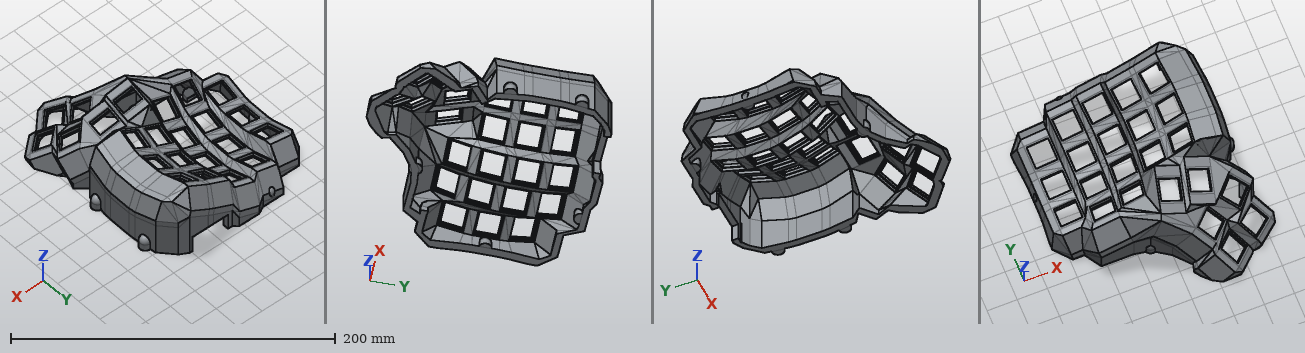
import cadquery as cq
import math


SWITCH_SIZE = 14.4
PLATE_RIM = 1.5
PLATE_THICKNESS = 4.0
CLIP_THICKNESS = 2.0
CLIP_UNDERCUT = 1.0
WEB_THICKNESS = 4.0
MOUNT = SWITCH_SIZE + 2 * PLATE_RIM
HALF_MOUNT = MOUNT / 2
POST_SIZE = 0.1
TALL_KEYCAP_LENGTH = 37.5
TALL_EXTENSION = (TALL_KEYCAP_LENGTH - MOUNT) / 3
TALL_HALF_MOUNT = MOUNT / 1.15

ROWS = 4
COLUMNS = 5
LAST_ROW = ROWS - 1
CORNER_ROW = ROWS - 2
LAST_COLUMN = COLUMNS - 1
LONG_COLUMNS = (2, 3)
CENTRE_ROW = 1
CENTRE_COLUMN = 3
ROW_ANGLE = 15
COLUMN_ANGLE = 5
TENTING_ANGLE = 15
LIFT = 9.0
KEYCAP_HEIGHT = 12.7
EXTRA_WIDTH = 2.5
EXTRA_HEIGHT = 1.0
CAP_TOP = PLATE_THICKNESS + KEYCAP_HEIGHT
ROW_RADIUS = (MOUNT + EXTRA_HEIGHT) / 2 / math.sin(math.radians(ROW_ANGLE / 2)) + CAP_TOP
COLUMN_RADIUS = (MOUNT + EXTRA_WIDTH) / 2 / math.sin(math.radians(COLUMN_ANGLE / 2)) + CAP_TOP
COLUMN_OFFSETS = [(0, 0, 0), (0, 0, 0), (0, 2.82, -4.5), (0, 0, 0), (0, -12, 5.64)]

LIP_WIDTH = 4.5
LIP_DROP = 1.0
WALL_OUT_X = 5.0
WALL_OUT_Y = 6.0
WALL_BASE_THICKNESS = 4.5
WALL_DROP = 15.0
INNER_WALL_OFFSET = (-12, 0, -3)
GROUND_DEPTH = 10.0
TRIM_SIZE = 400.0

THUMB_ORIGIN_OFFSET = (6, -3, 7)
THUMB_PLACES = {
    "top_right": ((10, -23, 10), (-12, -16, 3)),
    "top_left": ((10, -23, 10), (-32, -15, -2)),
    "middle_right": ((-6, -34, 48), (-29, -40, -13)),
    "middle_left": ((6, -34, 40), (-51, -25, -12)),
    "bottom_right": ((-16, -33, 54), (-37.8, -55.3, -25.3)),
    "bottom_left": ((-4, -35, 52), (-56.3, -43.3, -23.5)),
}
TALL_THUMB_KEYS = ("top_right", "top_left")

BOSS_BOTTOM_RADIUS = 4.255
BOSS_TOP_RADIUS = 4.15
BOSS_HEIGHT = 5.3
FRONT_BOSS_ROW = LAST_ROW + 0.3

OPENING_WIDTH = 28.75
OPENING_DEPTH = 20.0
OPENING_HEIGHT = 12.5
OPENING_SHIFT_X = -5.0
OPENING_SHIFT_Y = -4.5
RECESS_MARGIN = 4.0
RECESS_DEPTH = 10.0


def add(*vectors):
    return tuple(sum(parts) for parts in zip(*vectors))


def subtract(a, b):
    return tuple(p - q for p, q in zip(a, b))


def dot(a, b):
    return sum(p * q for p, q in zip(a, b))


def cross(a, b):
    return (
        a[1] * b[2] - a[2] * b[1],
        a[2] * b[0] - a[0] * b[2],
        a[0] * b[1] - a[1] * b[0],
    )


def unit(a):
    length = math.sqrt(dot(a, a))
    return tuple(p / length for p in a)


def turn(axis, degrees, point):
    c = math.cos(math.radians(degrees))
    s = math.sin(math.radians(degrees))
    x, y, z = point
    if axis == "x":
        return (x, c * y - s * z, s * y + c * z)
    if axis == "y":
        return (c * x + s * z, y, c * z - s * x)
    return (c * x - s * y, s * x + c * y, z)


def key_place(column, row):
    """Maps a point of a flat key onto its place in the key field."""

    def place(point):
        point = add(point, (0, 0, -ROW_RADIUS))
        point = turn("x", ROW_ANGLE * (CENTRE_ROW - row), point)
        point = add(point, (0, 0, ROW_RADIUS - COLUMN_RADIUS))
        point = turn("y", COLUMN_ANGLE * (CENTRE_COLUMN - column), point)
        point = add(point, (0, 0, COLUMN_RADIUS), COLUMN_OFFSETS[column])
        return add(turn("y", TENTING_ANGLE, point), (0, 0, LIFT))

    return place


def thumb_place(name):
    """Maps a point of a flat key onto its place in the thumb cluster."""
    turns, shift = THUMB_PLACES[name]
    origin = key_place(1, CORNER_ROW)((HALF_MOUNT, -HALF_MOUNT, 0))

    def place(point):
        for axis, angle in zip("xyz", turns):
            point = turn(axis, angle, point)
        return add(point, origin, THUMB_ORIGIN_OFFSET, shift)

    return place


def inner_place(row, side):
    """Shifts a point to the inner wall beside the front (-1), middle (0) or back (1) of a key."""
    corner = key_place(0, row)((-HALF_MOUNT, side * HALF_MOUNT, 0))

    def place(point):
        return add(point, corner, INNER_WALL_OFFSET)

    return place


FLATNESS = 1e-6


def facet(points, a, b, c):
    """A hull facet: its corners, outward normal and distance from the origin."""
    normal = unit(cross(subtract(points[b], points[a]), subtract(points[c], points[a])))
    return (a, b, c), normal, dot(normal, points[a])


def height(point, one_facet):
    return dot(one_facet[1], point) - one_facet[2]


def rim_edges(corner_lists):
    """Directed edges that only one of the corner lists runs along."""
    edges = {edge for corners in corner_lists for edge in zip(corners, corners[1:] + corners[:1])}
    return [edge for edge in edges if edge[::-1] not in edges]


def first_facets(points):
    """The four facets of a tetrahedron on widely spaced points."""
    a = 0
    b = max(range(len(points)), key=lambda i: math.dist(points[i], points[a]))
    along = subtract(points[b], points[a])

    def off_line(i):
        return math.hypot(*cross(along, subtract(points[i], points[a])))

    c = max(range(len(points)), key=off_line)
    base = facet(points, a, b, c)
    d = max(range(len(points)), key=lambda i: abs(height(points[i], base)))
    if height(points[d], base) > 0:
        b, c = c, b
    return [facet(points, *corners) for corners in ((a, b, c), (a, d, b), (b, d, c), (c, d, a))]


def hull_facets(points):
    """Triangular facets of the convex hull of the points."""
    facets = first_facets(points)
    for i, point in enumerate(points):
        seen = [f for f in facets if height(point, f) > FLATNESS]
        facets = [f for f in facets if height(point, f) <= FLATNESS]
        facets += [facet(points, start, end, i) for start, end in rim_edges([f[0] for f in seen])]
    return facets


def same_plane(points, one_facet, other):
    level = all(abs(height(points[i], other)) < FLATNESS for i in one_facet[0])
    return level and dot(one_facet[1], other[1]) > 0


def flat_groups(points, facets):
    """Gathers the facets that lie in one plane."""
    groups = []
    for f in facets:
        for group in groups:
            if same_plane(points, f, group[0]):
                group.append(f)
                break
        else:
            groups.append([f])
    return groups


def hull_solid(points):
    """The convex solid around the points, with one polygon for each flat side."""
    faces = []
    for group in flat_groups(points, hull_facets(points)):
        following = dict(rim_edges([f[0] for f in group]))
        corner = next(iter(following))
        outline = []
        for _ in following:
            outline.append(cq.Vector(*points[corner]))
            corner = following[corner]
        faces.append(cq.Face.makeFromWires(cq.Wire.makePolygon(outline, close=True)))
    return cq.Solid.makeSolid(cq.Shell.makeShell(faces))


POST_REACH = HALF_MOUNT - POST_SIZE / 2
TALL_POST_REACH = TALL_HALF_MOUNT - POST_SIZE / 2
CENTRE = (0, 0, 0)
FRONT_LEFT = (-POST_REACH, -POST_REACH, 0)
FRONT_RIGHT = (POST_REACH, -POST_REACH, 0)
BACK_LEFT = (-POST_REACH, POST_REACH, 0)
BACK_RIGHT = (POST_REACH, POST_REACH, 0)
TALL_FRONT_LEFT = (-POST_REACH, -TALL_POST_REACH, 0)
TALL_FRONT_RIGHT = (POST_REACH, -TALL_POST_REACH, 0)
TALL_BACK_LEFT = (-POST_REACH, TALL_POST_REACH, 0)
TALL_BACK_RIGHT = (POST_REACH, TALL_POST_REACH, 0)


def post(place, *offsets):
    """The corners of a post, foot and top in turn, moved by the offsets and then placed."""
    half = POST_SIZE / 2
    return [
        place(add((x, y, z), *offsets))
        for x in (-half, half)
        for y in (-half, half)
        for z in (PLATE_THICKNESS - WEB_THICKNESS, PLATE_THICKNESS)
    ]


def web_strip(*posts):
    """Webs over a strip of posts: one solid for each three posts in a row."""
    triples = zip(posts, posts[1:], posts[2:])
    return [hull_solid(a + b + c) for a, b, c in triples]


def lip(x, y):
    return (x * LIP_WIDTH, y * LIP_WIDTH, -LIP_DROP)


def wall_inside(x, y):
    return (x * WALL_OUT_X, y * WALL_OUT_Y, -WALL_DROP)


def wall_outside(x, y):
    return (
        x * (WALL_OUT_X + WALL_BASE_THICKNESS),
        y * (WALL_OUT_Y + WALL_BASE_THICKNESS),
        -WALL_DROP,
    )


def wall_base(place, corner, x, y):
    return post(place, corner, wall_inside(x, y)) + post(place, corner, wall_outside(x, y))


def wall_section(place, corner, x, y):
    return post(place, corner) + post(place, corner, lip(x, y)) + wall_base(place, corner, x, y)


def grounded_solid(posts):
    """The hull of the feet of the posts and of their footprint below the base plane."""
    feet = posts[::2]
    footprint = [(x, y, -GROUND_DEPTH) for x, y, _ in feet]
    return hull_solid(feet + footprint)


def wall(first, second):
    """A stretch of wall between two (place, corner, x, y) sections."""
    return [
        hull_solid(wall_section(*first) + wall_section(*second)),
        grounded_solid(wall_base(*first) + wall_base(*second)),
    ]


def chain(sections):
    """Stretches of wall from each section to the next."""
    parts = []
    for first, second in zip(sections, sections[1:]):
        parts += wall(first, second)
    return parts


def key(column, row, corner):
    return post(key_place(column, row), corner)


def thumb(name, corner):
    return post(thumb_place(name), corner)


def box(size_x, size_y, bottom, top, centre_y=0):
    corner = cq.Vector(-size_x / 2, centre_y - size_y / 2, bottom)
    return cq.Solid.makeBox(size_x, size_y, top - bottom, corner)


def moved(shape, place):
    """Moves a flat shape by the rigid motion that `place` applies to points."""
    origin = place((0, 0, 0))
    x_axis = subtract(place((1, 0, 0)), origin)
    normal = subtract(place((0, 0, 1)), origin)
    plane = cq.Plane(origin=origin, xDir=x_axis, normal=normal)
    return shape.moved(cq.Location(plane))


def switch_opening():
    undercut_size = SWITCH_SIZE + 2 * CLIP_UNDERCUT
    lip_bottom = PLATE_THICKNESS - CLIP_THICKNESS
    opening = box(SWITCH_SIZE, SWITCH_SIZE, 0, PLATE_THICKNESS)
    return opening.fuse(box(undercut_size, undercut_size, 0, lip_bottom))


def switch_plate():
    return box(MOUNT, MOUNT, 0, PLATE_THICKNESS).cut(switch_opening())


def tall_extensions():
    offset = (MOUNT + TALL_EXTENSION) / 2
    bottom = PLATE_THICKNESS - WEB_THICKNESS
    return [box(MOUNT, TALL_EXTENSION, bottom, PLATE_THICKNESS, y) for y in (-offset, offset)]


def plates():
    parts = []
    for column in range(COLUMNS):
        for row in range(ROWS):
            if row < LAST_ROW or column in LONG_COLUMNS:
                parts.append(moved(switch_plate(), key_place(column, row)))
    for name in THUMB_PLACES:
        parts.append(moved(switch_plate(), thumb_place(name)))
    for name in TALL_THUMB_KEYS:
        parts += [moved(extension, thumb_place(name)) for extension in tall_extensions()]
    return parts


def key_webs():
    parts = []
    for column in range(COLUMNS - 1):
        for row in range(LAST_ROW):
            parts += web_strip(
                key(column + 1, row, BACK_LEFT),
                key(column, row, BACK_RIGHT),
                key(column + 1, row, FRONT_LEFT),
                key(column, row, FRONT_RIGHT),
            )
    for column in range(COLUMNS):
        for row in range(CORNER_ROW):
            parts += web_strip(
                key(column, row, FRONT_LEFT),
                key(column, row, FRONT_RIGHT),
                key(column, row + 1, BACK_LEFT),
                key(column, row + 1, BACK_RIGHT),
            )
    for column in range(COLUMNS - 1):
        for row in range(CORNER_ROW):
            parts += web_strip(
                key(column, row, FRONT_RIGHT),
                key(column, row + 1, BACK_RIGHT),
                key(column + 1, row, FRONT_LEFT),
                key(column + 1, row + 1, BACK_LEFT),
            )
    return parts


def thumb_webs():
    parts = web_strip(
        thumb("top_left", TALL_BACK_RIGHT),
        thumb("top_left", TALL_FRONT_RIGHT),
        thumb("top_right", TALL_BACK_LEFT),
        thumb("top_right", TALL_FRONT_LEFT),
    )
    for lower, upper in (("bottom_right", "middle_right"), ("bottom_left", "middle_left")):
        parts += web_strip(
            thumb(lower, BACK_RIGHT),
            thumb(lower, FRONT_RIGHT),
            thumb(upper, BACK_LEFT),
            thumb(upper, FRONT_LEFT),
        )
    parts += web_strip(
        thumb("bottom_right", BACK_LEFT),
        thumb("bottom_left", FRONT_LEFT),
        thumb("bottom_right", BACK_RIGHT),
        thumb("bottom_left", FRONT_RIGHT),
        thumb("middle_right", BACK_LEFT),
        thumb("middle_left", FRONT_LEFT),
        thumb("middle_right", BACK_RIGHT),
        thumb("middle_left", FRONT_RIGHT),
    )
    parts += web_strip(
        thumb("top_left", TALL_BACK_LEFT),
        thumb("middle_left", BACK_RIGHT),
        thumb("top_left", TALL_FRONT_LEFT),
        thumb("middle_left", FRONT_RIGHT),
        thumb("top_left", TALL_FRONT_RIGHT),
        thumb("middle_right", BACK_RIGHT),
        thumb("top_right", TALL_FRONT_LEFT),
        thumb("middle_right", FRONT_RIGHT),
        thumb("top_right", TALL_FRONT_RIGHT),
    )
    return parts


def webs_from_thumb_to_keys():
    parts = web_strip(
        thumb("top_left", TALL_BACK_LEFT),
        key(0, CORNER_ROW, FRONT_LEFT),
        thumb("top_left", TALL_BACK_RIGHT),
        key(0, CORNER_ROW, FRONT_RIGHT),
        thumb("top_right", TALL_BACK_LEFT),
        key(1, CORNER_ROW, FRONT_LEFT),
        thumb("top_right", TALL_BACK_RIGHT),
        key(1, CORNER_ROW, FRONT_RIGHT),
        key(2, LAST_ROW, BACK_LEFT),
        key(2, LAST_ROW, FRONT_LEFT),
        thumb("top_right", TALL_BACK_RIGHT),
        key(2, LAST_ROW, FRONT_LEFT),
        thumb("top_right", TALL_FRONT_RIGHT),
        key(2, LAST_ROW, FRONT_RIGHT),
        key(3, LAST_ROW, FRONT_LEFT),
        key(2, LAST_ROW, BACK_RIGHT),
        key(3, LAST_ROW, BACK_LEFT),
        key(3, CORNER_ROW, FRONT_LEFT),
        key(3, LAST_ROW, BACK_RIGHT),
        key(3, CORNER_ROW, FRONT_RIGHT),
        key(4, CORNER_ROW, FRONT_LEFT),
    )
    parts += web_strip(
        key(1, CORNER_ROW, FRONT_RIGHT),
        key(2, LAST_ROW, BACK_LEFT),
        key(2, CORNER_ROW, FRONT_LEFT),
        key(2, LAST_ROW, BACK_RIGHT),
        key(2, CORNER_ROW, FRONT_RIGHT),
        key(3, CORNER_ROW, FRONT_LEFT),
    )
    parts += web_strip(
        key(3, LAST_ROW, BACK_RIGHT),
        key(3, LAST_ROW, FRONT_RIGHT),
        key(4, CORNER_ROW, FRONT_LEFT),
    )
    return parts


def back_walls():
    sections = []
    for column in range(COLUMNS):
        for corner in (BACK_LEFT, BACK_RIGHT):
            sections.append((key_place(column, 0), corner, 0, 1))
    sections.append((key_place(LAST_COLUMN, 0), BACK_RIGHT, 1, 0))
    return chain(sections)


def outer_walls():
    sections = []
    for row in range(LAST_ROW):
        for corner in (BACK_RIGHT, FRONT_RIGHT):
            sections.append((key_place(LAST_COLUMN, row), corner, 1, 0))
    sections.append((key_place(LAST_COLUMN, CORNER_ROW), FRONT_RIGHT, 0, -1))
    return chain(sections)


def inner_walls():
    sections = [(key_place(0, 0), BACK_LEFT, 0, 1), (inner_place(0, 1), CENTRE, 0, 1)]
    key_edge = []
    for row in range(LAST_ROW):
        for side, corner in ((1, BACK_LEFT), (-1, FRONT_LEFT)):
            sections.append((inner_place(row, side), CENTRE, -1, 0))
            key_edge.append(key(0, row, corner) + post(inner_place(row, side)))
    covers = [hull_solid(a + b) for a, b in zip(key_edge, key_edge[1:])]
    return chain(sections) + covers


def front_walls():
    little_finger = chain(
        [
            (key_place(LAST_COLUMN, CORNER_ROW), FRONT_RIGHT, 0, -1),
            (key_place(LAST_COLUMN, CORNER_ROW), FRONT_LEFT, 0, -1),
        ]
    )
    towards_thumb = chain(
        [
            (key_place(LAST_COLUMN, CORNER_ROW), FRONT_LEFT, 1, -1),
            (key_place(3, LAST_ROW), FRONT_RIGHT, 0.5, -1),
            (key_place(3, LAST_ROW), FRONT_LEFT, 0, -1),
            (thumb_place("top_right"), TALL_FRONT_RIGHT, 0, -1),
            (thumb_place("middle_right"), FRONT_RIGHT, 0, -1),
        ]
    )
    return little_finger + towards_thumb


INNER_TURN = -0.3


def thumb_walls():
    middle_right = thumb_place("middle_right")
    middle_left = thumb_place("middle_left")
    bottom_right = thumb_place("bottom_right")
    bottom_left = thumb_place("bottom_left")
    return chain(
        [
            (middle_right, FRONT_RIGHT, 0, -1),
            (middle_right, FRONT_LEFT, 0, -1),
            (bottom_right, FRONT_RIGHT, 0, -1),
            (bottom_right, FRONT_LEFT, 0, -1),
            (bottom_right, FRONT_LEFT, -1, 0),
            (bottom_right, BACK_LEFT, -1, 0),
            (bottom_left, FRONT_LEFT, -1, 0),
            (bottom_left, BACK_LEFT, -1, 0),
            (bottom_left, BACK_LEFT, 0, 1),
            (bottom_left, BACK_RIGHT, 0, 1),
            (middle_left, BACK_LEFT, 0, 1),
            (middle_left, BACK_RIGHT, INNER_TURN, 1),
        ]
    )


def thumb_to_inner_wall():
    inner = inner_place(CORNER_ROW, -1)
    middle_left = thumb_place("middle_left")
    corner_key = key_place(0, CORNER_ROW)
    top_left = thumb("top_left", TALL_BACK_LEFT)
    inner_base = wall_base(inner, CENTRE, -1, 0)
    thumb_base = wall_base(middle_left, BACK_RIGHT, INNER_TURN, 1)
    inner_lip = post(inner) + post(inner, lip(-1, 0))
    key_lip = post(corner_key, FRONT_LEFT) + post(corner_key, FRONT_LEFT, lip(-1, 0))
    return [
        grounded_solid(inner_base + thumb_base),
        hull_solid(inner_base + thumb_base + top_left),
        hull_solid(inner_lip + inner_base + top_left),
        hull_solid(inner_lip + key_lip + top_left),
        hull_solid(wall_section(middle_left, BACK_RIGHT, INNER_TURN, 1) + top_left),
    ]


def boss(x, y):
    cone = cq.Solid.makeCone(BOSS_BOTTOM_RADIUS, BOSS_TOP_RADIUS, BOSS_HEIGHT)
    ball = cq.Workplane("XY").sphere(BOSS_TOP_RADIUS).val()
    dome = ball.moved(cq.Location(cq.Vector(0, 0, BOSS_HEIGHT)))
    return cone.fuse(dome).moved(cq.Location(cq.Vector(x, y, 0)))


def bosses():
    inner_shift = wall_outside(-1, 0)
    back_edge = (0, HALF_MOUNT, 0)
    outer_edge = (HALF_MOUNT, 0, 0)
    spots = [
        add(inner_place(0, 0)(CENTRE), inner_shift),
        add(inner_place(CORNER_ROW, 0)(CENTRE), inner_shift),
        key_place(3, 0)(add(wall_inside(0, 1), back_edge)),
        key_place(2, FRONT_BOSS_ROW)(subtract(wall_inside(0, -1), back_edge)),
        key_place(LAST_COLUMN, 1)(add(wall_inside(1, 0), outer_edge)),
    ]
    return [boss(x, y) for x, y, _ in spots]


def controller_opening():
    """A window through the back wall with a wider, taller recess on its inner side."""
    wall_x, wall_y, _ = key_place(0, 0)(add(wall_outside(0, 1), (0, HALF_MOUNT, 0)))
    centre_x = wall_x + OPENING_WIDTH / 2 + OPENING_SHIFT_X
    centre_y = wall_y + OPENING_SHIFT_Y
    opening = box(OPENING_WIDTH, OPENING_DEPTH, -GROUND_DEPTH, OPENING_HEIGHT)
    recess_width = OPENING_WIDTH + 2 * RECESS_MARGIN
    recess_top = OPENING_HEIGHT + RECESS_MARGIN
    recess = box(recess_width, RECESS_DEPTH, -GROUND_DEPTH, recess_top, -RECESS_DEPTH / 2)
    return opening.fuse(recess).moved(cq.Location(cq.Vector(centre_x, centre_y, 0)))


def joined(parts):
    return parts[0].fuse(*parts[1:])


def case():
    groups = [
        plates(),
        key_webs(),
        thumb_webs() + webs_from_thumb_to_keys(),
        back_walls() + outer_walls(),
        inner_walls() + front_walls(),
        thumb_walls() + thumb_to_inner_wall(),
        bosses(),
    ]
    whole = joined(groups[0])
    for group in groups[1:]:
        whole = whole.fuse(joined(group))
    below = box(TRIM_SIZE, TRIM_SIZE, -TRIM_SIZE, 0)
    return whole.cut(below, controller_opening())


result = cq.Workplane(case().mirror("YZ"))